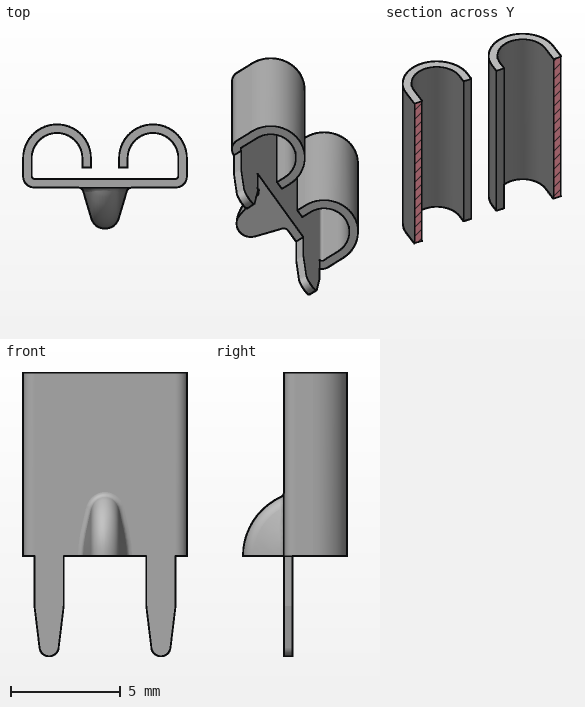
import cadquery as cq
import math

body_width = 7.49
body_depth = 2.89
body_height = 8.38
sheet = 0.4
curl_radius = 1.55
bend_radius = 0.52
curl_end_y = 0.91

leg_length = 4.57
leg_width = 1.35
leg_taper_start = 2.27
leg_tip_width = 0.88
leg_tip_rise = 0.39

boss_reach = 1.88
boss_sweep_radius = 2.98
boss_nose_radius = 0.66
boss_flank_angle = math.radians(16.5)
boss_fillet = 0.25

half_width = body_width / 2
plate_half_width = half_width - bend_radius
leg_center_x = plate_half_width - leg_width / 2


def make_half_body(side):
    """Half of the body, from the center plane to the free end of one curl."""
    curl_center_x = half_width - curl_radius
    curl_center_y = body_depth - curl_radius
    inner_radius = curl_radius - sheet
    inner_bend = bend_radius - sheet
    outer_diag = bend_radius * (1 - math.sqrt(0.5))
    inner_diag = sheet + inner_bend * (1 - math.sqrt(0.5))
    profile = (
        cq.Workplane("XY")
        .moveTo(0, 0)
        .lineTo(plate_half_width, 0)
        .threePointArc((half_width - outer_diag, outer_diag), (half_width, bend_radius))
        .lineTo(half_width, curl_center_y)
        .threePointArc((curl_center_x, body_depth), (curl_center_x - curl_radius, curl_center_y))
        .lineTo(curl_center_x - curl_radius, curl_end_y)
        .lineTo(curl_center_x - inner_radius, curl_end_y)
        .lineTo(curl_center_x - inner_radius, curl_center_y)
        .threePointArc((curl_center_x, body_depth - sheet), (half_width - sheet, curl_center_y))
        .lineTo(half_width - sheet, bend_radius)
        .threePointArc((half_width - inner_diag, inner_diag), (plate_half_width, sheet))
        .lineTo(0, sheet)
        .close()
    )
    half = profile.extrude(body_height)
    return half if side > 0 else half.mirror("YZ")


def make_leg(side):
    """A flat leg below the plate, tapered to a rounded tip."""
    half_leg = leg_width / 2
    half_tip = leg_tip_width / 2
    tip_start_z = leg_tip_rise - leg_length
    return (
        cq.Workplane("XZ")
        .center(side * leg_center_x, 0)
        .moveTo(-half_leg, 0)
        .lineTo(-half_leg, -leg_taper_start)
        .lineTo(-half_tip, tip_start_z)
        .threePointArc((0, -leg_length), (half_tip, tip_start_z))
        .lineTo(half_leg, -leg_taper_start)
        .lineTo(half_leg, 0)
        .close()
        .extrude(-sheet)
    )


def make_boss():
    """A tapered, round-nosed section swept a quarter turn up into the plate."""
    axis_y = boss_sweep_radius - boss_reach
    nose_center_y = boss_nose_radius - boss_reach
    tangent_x = boss_nose_radius * math.cos(boss_flank_angle)
    tangent_y = nose_center_y - boss_nose_radius * math.sin(boss_flank_angle)
    root_x = tangent_x + (axis_y - tangent_y) * math.tan(boss_flank_angle)
    swept = (
        cq.Workplane("XY")
        .moveTo(-root_x, axis_y)
        .lineTo(-tangent_x, tangent_y)
        .threePointArc((0, -boss_reach), (tangent_x, tangent_y))
        .lineTo(root_x, axis_y)
        .close()
        .revolve(90, (0, axis_y, 0), (-1, axis_y, 0))
    )
    keep_depth = boss_reach + sheet / 2
    keep = cq.Workplane("XY").box(body_width, keep_depth, body_height, centered=(True, False, False))
    return swept.intersect(keep.translate((0, -boss_reach, 0)))


body = make_half_body(1).union(make_half_body(-1)).union(make_boss())

pick_margin = 0.01
root_box = cq.selectors.BoxSelector(
    (-plate_half_width / 2, -pick_margin, pick_margin),
    (plate_half_width / 2, pick_margin, boss_sweep_radius),
    boundingbox=False,
)
body = body.edges(root_box).fillet(boss_fillet)

for leg_side in (-1, 1):
    body = body.union(make_leg(leg_side))

result = body